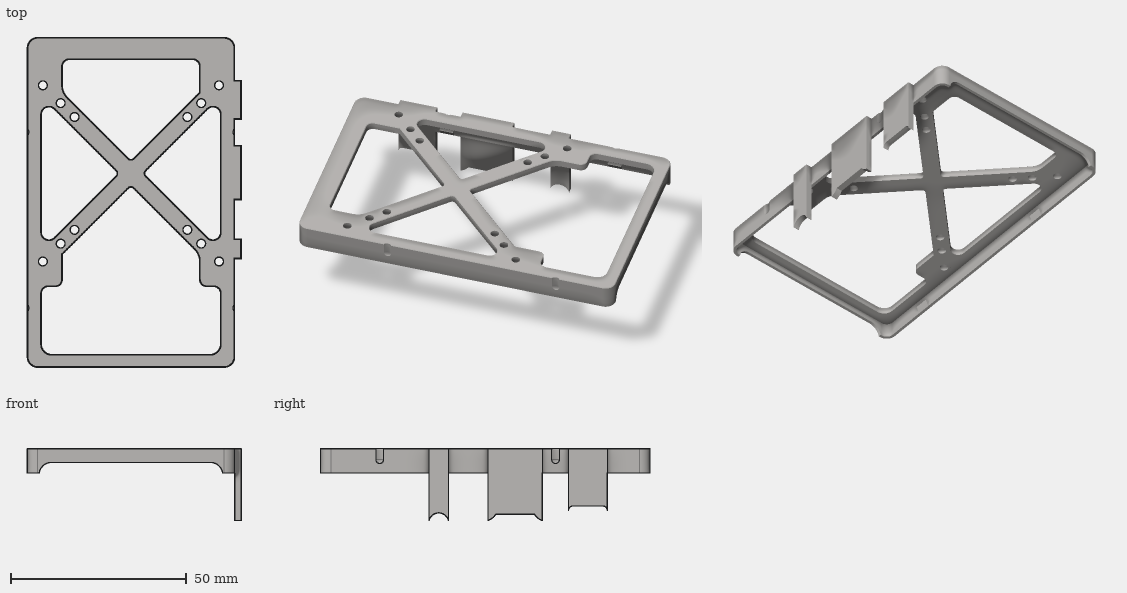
import cadquery as cq
import math

FRAME_X = 59.0
FRAME_Y = 93.8
FRAME_DEPTH = 7.0
CORNER_R = 3.0
PLATE_THICK = 2.25
SKIRT_THICK = 0.8
EDGE_CHAMFER = 0.2

SIDE_RAIL = 4.0
SOUTH_RAIL = 3.7
NORTH_RAIL = 6.3
BRACE_Y = 8.3
BRACE_WIDTH = 5.0
GUSSET_X = 19.5
GUSSET_END_Y = -23.9
WINDOW_R = 2.0
BRACE_R = 1.0
BEND_R = 5.0
SIDE_WINDOW_R = 2.2

HOLE_D = 2.4
HOLE_OFFSETS = (16.0, 20.0, 25.0)

ARCH_Z = -4.0
ARCH_HALF = 26.1
ARCH_R = 3.5

SNAP_YS = (20.0, -30.0)
GROOVE_D = 3.0
GROOVE_CUT = 0.5
GROOVE_TIP_Z = -4.3
RIDGE_LENGTH = 4.0
RIDGE_REACH = 1.0
RIDGE_TOP_Z = -5.25

TAB_THICK = 1.9
TAB_BOTTOM_Z = -20.5
NORTH_TAB = (23.6, 34.7)
NORTH_TAB_BOTTOM_Z = -17.7
NORTH_TAB_R = 1.3
MIDDLE_TAB = (0.75, 16.2)
MIDDLE_TAB_FOOT_Y = 2.25
MIDDLE_TAB_FOOT_R = 4.0
MIDDLE_TAB_ARCH_Z = -18.8
SOUTH_TAB = (-16.0, -10.4)
SOUTH_TAB_ARCH_R = 2.8
SOUTH_TAB_ARCH_Z = -18.4

half_x = FRAME_X / 2
half_y = FRAME_Y / 2
window_x = half_x - SIDE_RAIL
brace_gap = BRACE_WIDTH / math.sqrt(2)
through = 4 * FRAME_DEPTH


def block(x0, x1, y0, y1, z0, z1):
    return cq.Workplane("XY").box(x1 - x0, y1 - y0, z1 - z0, centered=False).translate((x0, y0, z0))


def window(points, radii):
    """Prism through the plate whose upright edge at each point has the given radius (0 = sharp)."""
    prism = cq.Workplane("XY").polyline(points).close().extrude(through).translate((0, 0, -through / 2))
    for radius in sorted(set(radii) - {0}):
        for (x, y), corner_radius in zip(points, radii):
            if corner_radius == radius:
                prism = prism.edges(cq.selectors.NearestToPointSelector((x, y, 0))).fillet(radius)
    return prism


def shell():
    body = block(-half_x, half_x, -half_y, half_y, -FRAME_DEPTH, 0).edges("|Z").fillet(CORNER_R)
    inner_x = half_x - SKIRT_THICK
    inner_y = half_y - SKIRT_THICK
    cavity = block(-inner_x, inner_x, -inner_y, inner_y, -through, -PLATE_THICK)
    return body.cut(cavity.edges("|Z").fillet(CORNER_R - SKIRT_THICK))


def north_window():
    top = half_y - NORTH_RAIL
    bend = BRACE_Y + brace_gap + GUSSET_X
    points = [(0, BRACE_Y + brace_gap), (GUSSET_X, bend), (GUSSET_X, top), (-GUSSET_X, top), (-GUSSET_X, bend)]
    return window(points, [BRACE_R, 0, WINDOW_R, WINDOW_R, BEND_R])


def south_window():
    bottom = SOUTH_RAIL - half_y
    bend = BRACE_Y - brace_gap - GUSSET_X
    points = [(0, BRACE_Y - brace_gap), (-GUSSET_X, bend), (-GUSSET_X, GUSSET_END_Y),
              (-window_x, GUSSET_END_Y), (-window_x, bottom), (window_x, bottom),
              (window_x, GUSSET_END_Y), (GUSSET_X, GUSSET_END_Y), (GUSSET_X, bend)]
    radii = [BRACE_R, 0, WINDOW_R, WINDOW_R, CORNER_R, CORNER_R, WINDOW_R, WINDOW_R, BEND_R]
    return window(points, radii)


def side_window(side):
    rise = window_x - brace_gap
    points = [(side * brace_gap, BRACE_Y), (side * window_x, BRACE_Y + rise), (side * window_x, BRACE_Y - rise)]
    return window(points, [BRACE_R, SIDE_WINDOW_R, SIDE_WINDOW_R])


def hole_cutter():
    points = [(sx * d, BRACE_Y + sy * d) for d in HOLE_OFFSETS for sx in (-1, 1) for sy in (-1, 1)]
    return cq.Workplane("XY").pushPoints(points).circle(HOLE_D / 2).extrude(-through)


def end_arch():
    arch = block(-ARCH_HALF, ARCH_HALF, -FRAME_Y, FRAME_Y, -through, ARCH_Z)
    return arch.edges("|Y and >Z").fillet(ARCH_R)


def groove(side, y):
    """Upright round groove in a long wall, ending in a ball shape."""
    radius = GROOVE_D / 2
    axis_gap = radius - GROOVE_CUT
    ball_z = GROOVE_TIP_Z + math.sqrt(radius**2 - axis_gap**2)
    cutter = cq.Workplane("XY").circle(radius).extrude(-ball_z).union(cq.Workplane("XY").sphere(radius))
    return cutter.translate((side * (half_x + axis_gap), y, ball_z))


def snap_ridge(side, y):
    """Ridge inside a long wall: flat on top, tapering back to the wall at its lower edge."""
    wall_x = half_x - SKIRT_THICK / 2
    tip_x = half_x - SKIRT_THICK - RIDGE_REACH
    points = [(side * wall_x, RIDGE_TOP_Z), (side * tip_x, RIDGE_TOP_Z),
              (side * (half_x - SKIRT_THICK), -FRAME_DEPTH), (side * wall_x, -FRAME_DEPTH)]
    ridge = cq.Workplane("XZ").polyline(points).close().extrude(RIDGE_LENGTH / 2, both=True)
    return ridge.translate((0, y, 0))


def tab(span, bottom_z):
    return block(half_x, half_x + TAB_THICK, *span, bottom_z, 0)


def north_tab():
    opening = block(0, FRAME_X, *NORTH_TAB, -through, NORTH_TAB_BOTTOM_Z + NORTH_TAB_R)
    return tab(NORTH_TAB, NORTH_TAB_BOTTOM_Z).cut(opening.edges("|X and >Z").fillet(NORTH_TAB_R))


def middle_tab():
    """Tab whose lower edge runs down to a point at each end along a bulging arc."""
    y0, y1 = MIDDLE_TAB
    foot = MIDDLE_TAB_FOOT_Y
    side = cq.Workplane("YZ").moveTo(y0, 0).lineTo(y0, TAB_BOTTOM_Z)
    side = side.radiusArc((y0 + foot, MIDDLE_TAB_ARCH_Z), -MIDDLE_TAB_FOOT_R).lineTo(y1 - foot, MIDDLE_TAB_ARCH_Z)
    side = side.radiusArc((y1, TAB_BOTTOM_Z), -MIDDLE_TAB_FOOT_R).lineTo(y1, 0).close()
    return side.extrude(TAB_THICK).translate((half_x, 0, 0))


def south_tab():
    center = (sum(SOUTH_TAB) / 2, SOUTH_TAB_ARCH_Z - SOUTH_TAB_ARCH_R)
    arch = cq.Workplane("YZ").center(*center).circle(SOUTH_TAB_ARCH_R).extrude(FRAME_X)
    return tab(SOUTH_TAB, TAB_BOTTOM_Z).cut(arch)


result = shell()
for hanging_tab in (north_tab(), middle_tab(), south_tab()):
    result = result.union(hanging_tab)
for opening in (north_window(), south_window(), side_window(-1), side_window(1)):
    result = result.cut(opening)
result = result.faces(">Z").edges().chamfer(EDGE_CHAMFER)
result = result.cut(end_arch()).cut(hole_cutter())
for side in (-1, 1):
    for snap_y in SNAP_YS:
        result = result.union(snap_ridge(side, snap_y)).cut(groove(side, snap_y))